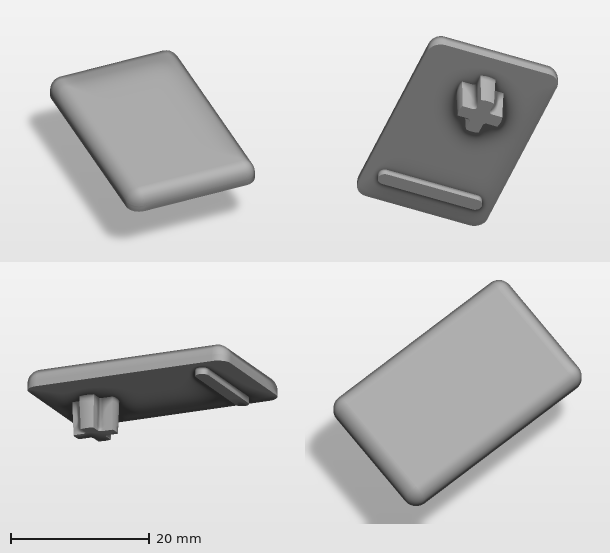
import cadquery as cq
import math

length = 32.0
width = 20.0
overall_height = 8.0
straight_edge = 1.0
edge_radius = 2.0
thickness = straight_edge + edge_radius

bar_length = 16.0
bar_width = 2.0
bar_height = 1.0
bar_x = 11.05

post_x = -9.0
post_height = overall_height - thickness
post_radius = 3.23
arm_half_width = 1.0
inner_fillet = 0.5
post_draft = 2.0


def make_plate():
    """Rounded block whose corners and top rim share one radius."""
    block = cq.Workplane("XY").box(length, width, thickness, centered=(True, True, False))
    block = block.edges("|Z").fillet(edge_radius)
    return block.faces(">Z").edges().fillet(edge_radius)


def make_bar():
    """Slot-shaped bar running along Y."""
    return (
        cq.Workplane("XY")
        .center(bar_x, 0)
        .slot2D(bar_length, bar_width, 90)
        .extrude(-bar_height)
    )


def cross_section(z, growth):
    """Cross with arc-ended arms and filleted inner corners, offset outward by growth."""
    radius = post_radius + growth
    half_width = arm_half_width + growth
    fillet = inner_fillet - growth
    arm_end = math.sqrt(radius**2 - half_width**2)
    fillet_centre = half_width + fillet
    fillet_middle = fillet_centre - fillet * math.sqrt(0.5)

    section = cq.Workplane("XY", origin=(post_x, 0, z)).moveTo(arm_end, -half_width)
    for quarter in range(4):
        angle = math.radians(90 * quarter)

        def turned(x, y):
            return (
                x * math.cos(angle) - y * math.sin(angle),
                x * math.sin(angle) + y * math.cos(angle),
            )

        section = (
            section.threePointArc(turned(radius, 0), turned(arm_end, half_width))
            .lineTo(*turned(fillet_centre, half_width))
            .threePointArc(turned(fillet_middle, fillet_middle), turned(half_width, fillet_centre))
            .lineTo(*turned(half_width, arm_end))
        )
    return section.wire().val()


def make_post():
    """Cross-shaped post that widens towards the plate."""
    root_growth = post_height * math.tan(math.radians(post_draft))
    free_end = cross_section(-post_height, 0)
    root = cross_section(0, root_growth)
    return cq.Workplane(cq.Solid.makeLoft([free_end, root], True))


result = make_plate().union(make_bar()).union(make_post())